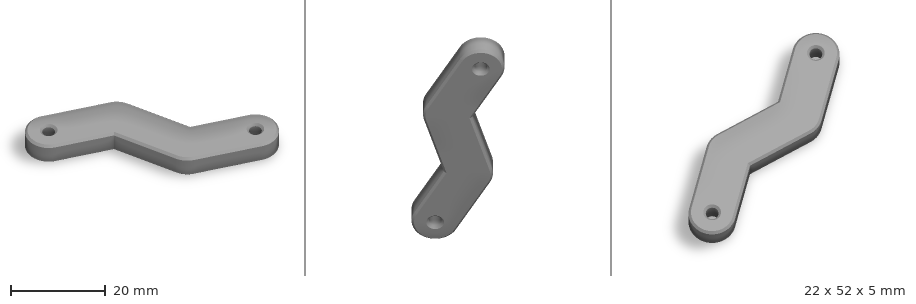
import cadquery as cq

length = 52.0
width = 22.0
thickness = 5.0
arm_width = 10.0
hole_diameter = 2.7
edge_chamfer = 0.5

hole_offset_x = width - arm_width
hole_offset_y = length - arm_width
arm_length = (hole_offset_y - hole_offset_x) / 2
lower_hole = (-hole_offset_x / 2, -hole_offset_y / 2)
lower_bend = (lower_hole[0], lower_hole[1] + arm_length)
upper_hole = (hole_offset_x / 2, hole_offset_y / 2)
upper_bend = (upper_hole[0], upper_hole[1] - arm_length)


def round_ended_bar(start, end):
    """Bar of the arm width with a rounded end centred on each point."""
    start_point = cq.Vector(*start)
    end_point = cq.Vector(*end)
    span = end_point - start_point
    plane = cq.Plane(origin=(start_point + end_point) / 2, xDir=span, normal=(0, 0, 1))
    return cq.Workplane(plane).slot2D(span.Length + arm_width, arm_width).extrude(thickness)


body = (
    round_ended_bar(lower_hole, lower_bend)
    .union(round_ended_bar(lower_bend, upper_bend))
    .union(round_ended_bar(upper_bend, upper_hole))
    .clean()
)

holes = (
    cq.Workplane("XY")
    .pushPoints([lower_hole, upper_hole])
    .circle(hole_diameter / 2)
    .extrude(thickness)
)

result = body.cut(holes).faces("|Z").edges().chamfer(edge_chamfer)